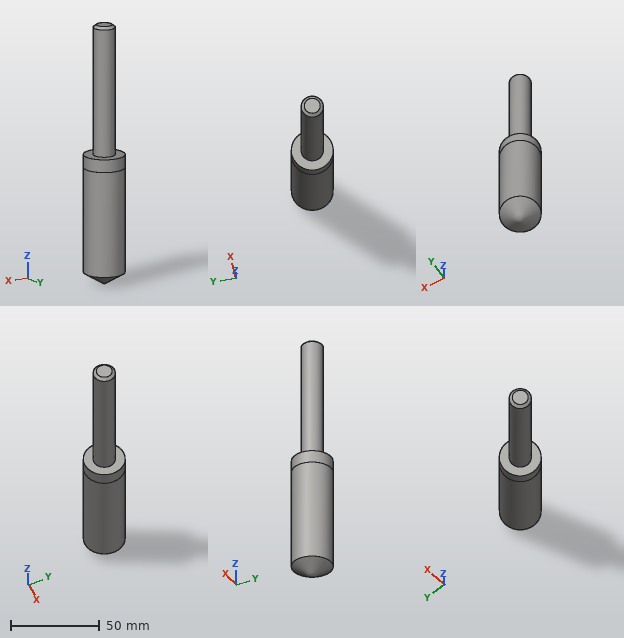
import cadquery as cq

total_length = 152.4
body_diameter = 23.8
shank_diameter = 12.6
cone_height = 7.2
collar_height = 7.5
shank_length = 76.2
chamfer_width = 1.8
chamfer_height = 1.5

body_radius = body_diameter / 2
shank_radius = shank_diameter / 2
shoulder_z = total_length - shank_length
joint_z = shoulder_z - collar_height
tip_z = 0.0


def revolve_about_z(profile_points):
    """Turn a closed radius-height outline around the Z axis."""
    outline = cq.Workplane("XZ").polyline(profile_points).close()
    return outline.revolve(360, (0, 0, 0), (0, 1, 0))


def make_pointed_body():
    """Cylinder with a conical point, flat where it meets the collar."""
    return revolve_about_z([
        (0, tip_z),
        (body_radius, tip_z + cone_height),
        (body_radius, joint_z),
        (0, joint_z),
    ])


def make_collared_shank():
    """Collar seated on the pointed body, with a shank chamfered at its top end."""
    return revolve_about_z([
        (0, joint_z),
        (body_radius, joint_z),
        (body_radius, shoulder_z),
        (shank_radius, shoulder_z),
        (shank_radius, total_length - chamfer_height),
        (shank_radius - chamfer_width, total_length),
        (0, total_length),
    ])


pointed_body = make_pointed_body()
collared_shank = make_collared_shank()

result = cq.Compound.makeCompound([pointed_body.val(), collared_shank.val()])